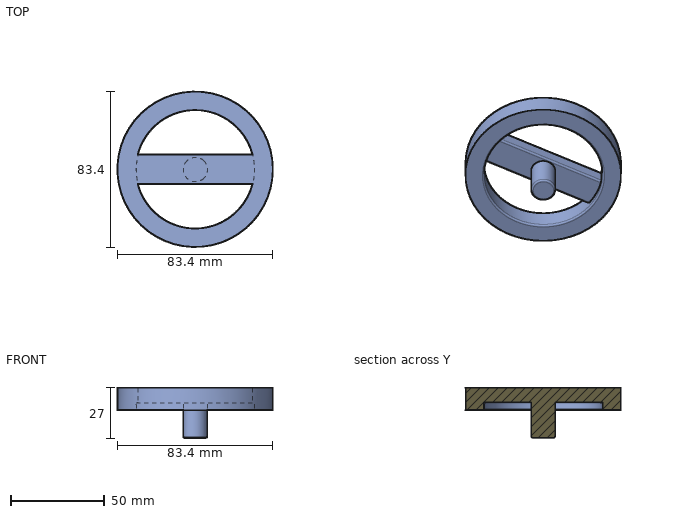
import cadquery as cq

rim_diameter = 83.4
rim_height = 12.1
opening_diameter = 63.4
bar_width = 15.9
bar_thickness = 8.0
pin_diameter = 13.0
pin_length = 14.9
edge_radius = 1.0

bar_underside = rim_height - bar_thickness

ring = cq.Workplane("XY").circle(rim_diameter / 2).circle(opening_diameter / 2).extrude(rim_height)
ring = ring.faces("<Z").edges("%CIRCLE").edges(cq.selectors.RadiusNthSelector(0)).fillet(edge_radius)

bar = (
    cq.Workplane("XY")
    .workplane(offset=bar_underside)
    .rect(rim_diameter, bar_width)
    .extrude(bar_thickness)
    .faces("<Z")
    .edges("|X")
    .fillet(edge_radius)
)
bar_end_diameter = (rim_diameter + opening_diameter) / 2
bar = bar.intersect(cq.Workplane("XY").circle(bar_end_diameter / 2).extrude(rim_height))

pin = (
    cq.Workplane("XY")
    .workplane(offset=-pin_length)
    .circle(pin_diameter / 2)
    .extrude(pin_length + bar_underside)
    .faces("<Z")
    .edges()
    .fillet(edge_radius)
)

result = ring.union(bar).union(pin).clean()